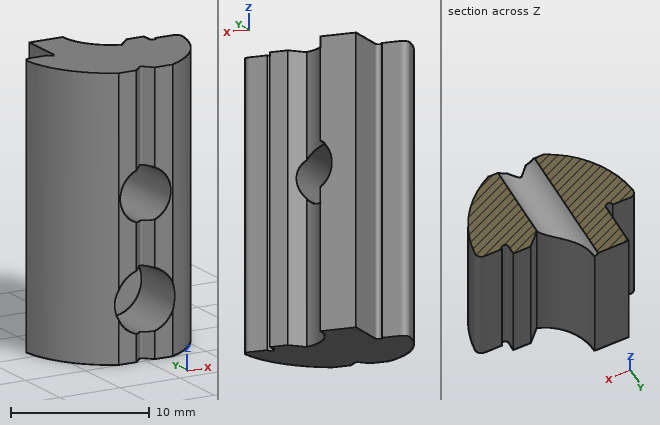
import cadquery as cq
import math

length = 22.0

base_half_width = 2.25
flank_radius = 7.48
flank_center_offset = 1.0
shoulder_height = 6.5
shoulder_round = 0.5

rib_half_width = 3.98
tall_rib_height = 10.0
short_rib_height = 7.24
channel_radius = 4.0
channel_center_x = 2.82
channel_low_x = 1.55

relief_radius = 0.26
base_groove_depth = 0.77
base_groove_round = 0.18

through_hole_diameter = 4.2
through_hole_z = 12.5
blind_hole_diameter = 5.0
blind_hole_z = 4.5
blind_hole_depth = 5.0


def flank_x(y):
    """Distance of the flank arc from the symmetry plane at height y."""
    rise = y - flank_center_y
    return math.sqrt(flank_radius**2 - rise**2) - flank_center_offset


def channel_y(x):
    """Height of the round channel floor at x."""
    return tall_rib_height - math.sqrt(channel_radius**2 - (x - channel_center_x) ** 2)


def round_edge(body, x, y, radius):
    """Fillet the lengthwise edge nearest to the profile point (x, y)."""
    return body.edges("|Z").edges(cq.selectors.NearestToPointSelector((x, y, length / 2))).fillet(radius)


def hole(diameter, z, depth):
    """Cylinder entering the base at height z and running along +Y."""
    plane = cq.Plane(origin=(0, 0, z), xDir=(1, 0, 0), normal=(0, 1, 0))
    return cq.Workplane(plane).circle(diameter / 2).extrude(depth)


flank_center_y = math.sqrt(flank_radius**2 - (base_half_width + flank_center_offset) ** 2)
flank_mid_y = shoulder_height / 2
shoulder_half_width = flank_x(shoulder_height)
channel_low_y = channel_y(channel_low_x)
channel_mid_x = (channel_center_x - channel_radius + channel_low_x) / 2
slope_top_x = channel_low_x + short_rib_height - channel_low_y

body = (
    cq.Workplane("XY")
    .moveTo(base_groove_depth, 0)
    .lineTo(base_half_width, 0)
    .threePointArc((flank_x(flank_mid_y), flank_mid_y), (shoulder_half_width, shoulder_height))
    .lineTo(rib_half_width, shoulder_height)
    .lineTo(rib_half_width, short_rib_height)
    .lineTo(slope_top_x, short_rib_height)
    .lineTo(channel_low_x, channel_low_y)
    .threePointArc(
        (channel_mid_x, channel_y(channel_mid_x)),
        (channel_center_x - channel_radius, tall_rib_height),
    )
    .lineTo(-rib_half_width, tall_rib_height)
    .lineTo(-rib_half_width, shoulder_height)
    .lineTo(-shoulder_half_width, shoulder_height)
    .threePointArc((-flank_x(flank_mid_y), flank_mid_y), (-base_half_width, 0))
    .lineTo(-base_groove_depth, 0)
    .lineTo(0, base_groove_depth)
    .close()
    .extrude(length)
)

body = round_edge(body, 0, base_groove_depth, base_groove_round)
for side in (-1, 1):
    body = round_edge(body, side * shoulder_half_width, shoulder_height, shoulder_round)

for side in (-1, 1):
    relief_x = side * (rib_half_width + relief_radius)
    relief = cq.Workplane("XY").center(relief_x, shoulder_height).circle(relief_radius).extrude(length)
    body = body.cut(relief)

body = body.cut(hole(through_hole_diameter, through_hole_z, tall_rib_height))
body = body.cut(hole(blind_hole_diameter, blind_hole_z, blind_hole_depth))

result = body